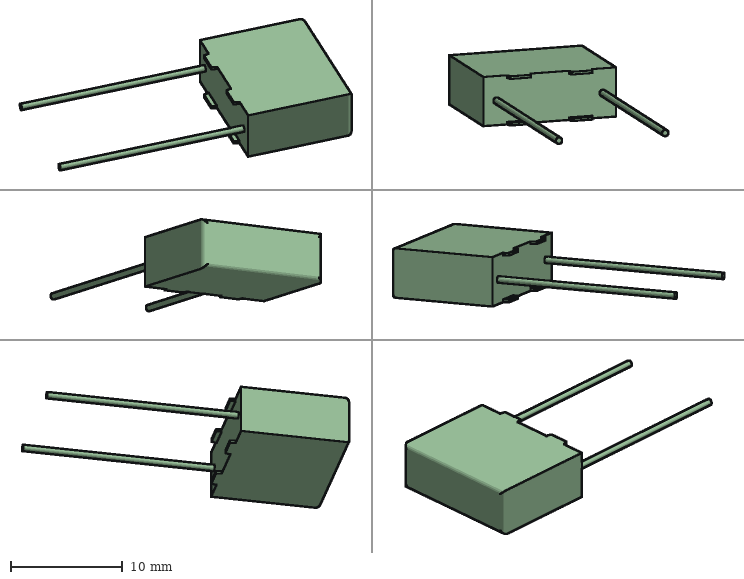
import cadquery as cq

overall_length = 27.5
housing_width = 12.5
housing_height = 4.5
housing_depth = 10.0
rear_edge_radius = 0.5

tab_spacing = 5.8
tab_base_width = 2.2
tab_tip_width = 1.92
tab_projection = 0.5
tab_thickness = 0.25

lead_diameter = 0.6
lead_pitch = 10.0
lead_length = overall_length - housing_depth


def make_tab(center_x, bottom_z):
    """Flat tab that tapers from the housing front (Y = 0) towards -Y."""
    return (
        cq.Workplane("XY", origin=(center_x, 0, bottom_z))
        .moveTo(-tab_base_width / 2, 0)
        .lineTo(-tab_tip_width / 2, -tab_projection)
        .lineTo(tab_tip_width / 2, -tab_projection)
        .lineTo(tab_base_width / 2, 0)
        .close()
        .extrude(tab_thickness)
    )


def make_housing():
    """Box case with rounded rear edges and four standoff tabs at its front."""
    housing = (
        cq.Workplane("XY")
        .box(housing_width, housing_depth, housing_height, centered=(True, False, True))
        .faces(">Y")
        .edges()
        .fillet(rear_edge_radius)
    )
    lower_tab_z = -housing_height / 2
    upper_tab_z = housing_height / 2 - tab_thickness
    for center_x in (-tab_spacing / 2, tab_spacing / 2):
        for bottom_z in (lower_tab_z, upper_tab_z):
            housing = housing.union(make_tab(center_x, bottom_z))
    return housing


def make_lead(center_x):
    """Round wire lead that starts on the housing front and runs towards -Y."""
    return cq.Workplane("XZ", origin=(center_x, 0, 0)).circle(lead_diameter / 2).extrude(lead_length)


housing = make_housing()
leads = [make_lead(center_x) for center_x in (-lead_pitch / 2, lead_pitch / 2)]

result = cq.Compound.makeCompound([housing.val(), *[lead.val() for lead in leads]])